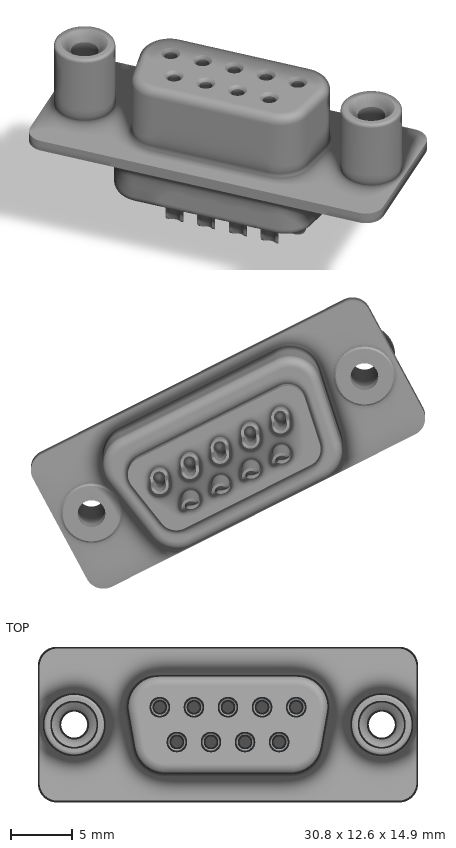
import cadquery as cq
import math

PLATE_LENGTH = 30.8
PLATE_WIDTH = 12.55
PLATE_THICKNESS = 0.95
PLATE_CORNER_RADIUS = 1.5

SIDE_LEAN = 10.0
SHELL_CORNER_RADIUS = 2.5
SHELL_RIM_RADIUS = 0.75

UPPER_MEAN_LENGTH = 15.87
UPPER_WIDTH = 7.92
UPPER_TOP = 6.75
UPPER_ROOT_RADIUS = 0.28

LOWER_MEAN_LENGTH = 18.4
LOWER_WIDTH = 10.7
LOWER_BOTTOM = -3.97
LOWER_ROOT_RADIUS = 0.2

INSERT_MEAN_LENGTH = 15.28
INSERT_WIDTH = 6.95
INSERT_BOTTOM = -4.9
INSERT_CORNER_RADIUS = 1.5

POST_SPACING = 25.02
POST_DIAMETER = 5.0
POST_TOP = 6.95
POST_BOTTOM = -0.2
POST_TOP_ROUND = 0.28
POST_BOTTOM_CHAMFER = 0.15
POST_HOLE_DIAMETER = 2.25
POST_SINK_DIAMETER = 3.75
POST_SINK_ANGLE = 90.0

CONTACT_PITCH = 2.77
CONTACT_ROW_SPACING = 2.83
CONTACTS_PER_ROW = {1: 5, -1: 4}

SOCKET_DIAMETER = 1.05
SOCKET_DEPTH = 3.7
SOCKET_SINK_DIAMETER = 1.55
SOCKET_SINK_ANGLE = 90.0

CUP_DIAMETER = 1.5
CUP_BORE_DIAMETER = 1.05
CUP_BOTTOM = -7.95
CUP_OPENING_TOP = -5.6
CUP_ROUND = 0.55


def d_body(mean_length, width, corner_radius, z_start, z_end):
    """Prism with a rounded D outline between two heights."""
    lean_shift = width / 2 * math.tan(math.radians(SIDE_LEAN))
    long_half = mean_length / 2 + lean_shift
    short_half = mean_length / 2 - lean_shift
    outline = [
        (-long_half, width / 2),
        (long_half, width / 2),
        (short_half, -width / 2),
        (-short_half, -width / 2),
    ]
    return (
        cq.Workplane("XY")
        .workplane(offset=z_start)
        .polyline(outline)
        .close()
        .extrude(z_end - z_start)
        .edges("|Z")
        .fillet(corner_radius)
    )


def round_root(body, z, radius):
    """Fillet the D-shaped inside corner where a shell meets the plate at height z."""
    reach_x = PLATE_LENGTH / 2 - PLATE_CORNER_RADIUS
    reach_y = PLATE_WIDTH / 2 - radius
    margin = radius / 2
    root_edges = cq.selectors.BoxSelector(
        (-reach_x, -reach_y, z - margin),
        (reach_x, reach_y, z + margin),
    )
    return body.edges(root_edges).fillet(radius)


def cone_depth(wide_diameter, narrow_diameter, angle):
    """Height of a countersink cone between two diameters."""
    return (wide_diameter - narrow_diameter) / 2 / math.tan(math.radians(angle / 2))


def sunk_hole(top, bottom, diameter, sink_diameter, sink_angle):
    """Cutter on the Z axis: a round hole with a countersink at its top."""
    sink_bottom = top - cone_depth(sink_diameter, diameter, sink_angle)
    return (
        cq.Workplane("XZ")
        .polyline([
            (0, bottom),
            (diameter / 2, bottom),
            (diameter / 2, sink_bottom),
            (sink_diameter / 2, top),
            (0, top),
        ])
        .close()
        .revolve(360, (0, 0), (0, 1))
    )


def make_post():
    """Solid post on the Z axis, rounded at the top and chamfered at the bottom."""
    return (
        cq.Workplane("XY")
        .workplane(offset=POST_BOTTOM)
        .circle(POST_DIAMETER / 2)
        .extrude(POST_TOP - POST_BOTTOM)
        .faces(">Z")
        .edges()
        .fillet(POST_TOP_ROUND)
        .faces("<Z")
        .edges()
        .chamfer(POST_BOTTOM_CHAMFER)
    )


def make_solder_cup():
    """Bored pin on the Z axis whose +Y half is cut away below the opening."""
    radius = CUP_DIAMETER / 2
    profile = (
        cq.Workplane("YZ")
        .moveTo(-radius, INSERT_BOTTOM)
        .lineTo(radius, INSERT_BOTTOM)
        .lineTo(radius, CUP_OPENING_TOP)
        .lineTo(CUP_ROUND, CUP_OPENING_TOP)
        .radiusArc((0, CUP_OPENING_TOP - CUP_ROUND), -CUP_ROUND)
        .lineTo(0, CUP_BOTTOM + CUP_ROUND)
        .radiusArc((-CUP_ROUND, CUP_BOTTOM), CUP_ROUND)
        .lineTo(-radius, CUP_BOTTOM)
        .close()
        .extrude(radius, both=True)
    )
    tube = (
        cq.Workplane("XY")
        .workplane(offset=CUP_BOTTOM)
        .circle(radius)
        .circle(CUP_BORE_DIAMETER / 2)
        .extrude(INSERT_BOTTOM - CUP_BOTTOM)
    )
    return tube.intersect(profile)


plate = (
    cq.Workplane("XY")
    .box(PLATE_LENGTH, PLATE_WIDTH, PLATE_THICKNESS, centered=(True, True, False))
    .edges("|Z")
    .fillet(PLATE_CORNER_RADIUS)
)
upper_shell = d_body(UPPER_MEAN_LENGTH, UPPER_WIDTH, SHELL_CORNER_RADIUS, 0, UPPER_TOP)
upper_shell = upper_shell.faces(">Z").edges().fillet(SHELL_RIM_RADIUS)
lower_shell = d_body(LOWER_MEAN_LENGTH, LOWER_WIDTH, SHELL_CORNER_RADIUS, LOWER_BOTTOM, PLATE_THICKNESS)
lower_shell = lower_shell.faces("<Z").edges().fillet(SHELL_RIM_RADIUS)

result = plate.union(upper_shell).union(lower_shell)
result = round_root(result, PLATE_THICKNESS, UPPER_ROOT_RADIUS)
result = round_root(result, 0, LOWER_ROOT_RADIUS)

result = result.union(
    d_body(INSERT_MEAN_LENGTH, INSERT_WIDTH, INSERT_CORNER_RADIUS, INSERT_BOTTOM, 0)
)

post_hole = sunk_hole(
    POST_TOP, POST_BOTTOM, POST_HOLE_DIAMETER, POST_SINK_DIAMETER, POST_SINK_ANGLE
)
for side in (-1, 1):
    offset = (side * POST_SPACING / 2, 0, 0)
    result = result.union(make_post().translate(offset))
    result = result.cut(post_hole.translate(offset))

socket = sunk_hole(
    UPPER_TOP, UPPER_TOP - SOCKET_DEPTH, SOCKET_DIAMETER, SOCKET_SINK_DIAMETER, SOCKET_SINK_ANGLE
)
solder_cup = make_solder_cup()
for row_sign, count in CONTACTS_PER_ROW.items():
    turn = 0 if row_sign > 0 else 180
    row_cup = solder_cup.rotate((0, 0, 0), (0, 0, 1), turn)
    for index in range(count):
        x = (index - (count - 1) / 2) * CONTACT_PITCH
        offset = (x, row_sign * CONTACT_ROW_SPACING / 2, 0)
        result = result.cut(socket.translate(offset))
        result = result.union(row_cup.translate(offset))